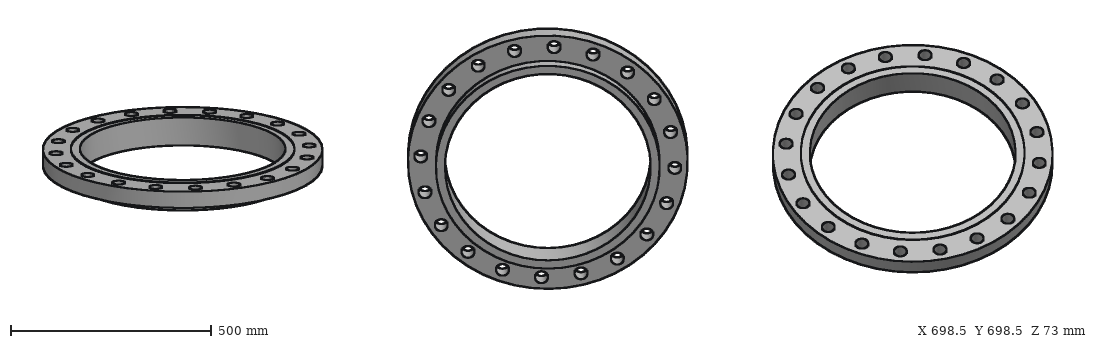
import cadquery as cq

outer_diameter = 698.5
bore_diameter = 513.5
hub_diameter = 559.0
raised_face_diameter = 559.0

total_height = 73.0
raised_face_height = 1.6
hub_height = 29.0
plate_thickness = total_height - hub_height - raised_face_height

bolt_count = 20
bolt_hole_diameter = 32.0
bolt_circle_diameter = 635.0
bolt_spacing_angle = 360.0 / bolt_count


def disc(diameter, base_height, thickness):
    """Solid disc on the flange axis, rising from base_height."""
    return cq.Workplane("XY").workplane(offset=base_height).circle(diameter / 2).extrude(thickness)


hub = disc(hub_diameter, 0, hub_height)
plate = disc(outer_diameter, hub_height, plate_thickness)
raised_face = disc(raised_face_diameter, hub_height + plate_thickness, raised_face_height)

bore = disc(bore_diameter, 0, total_height)

bolt_holes = (
    cq.Workplane("XY")
    .polarArray(bolt_circle_diameter / 2, bolt_spacing_angle / 2, 360, bolt_count)
    .circle(bolt_hole_diameter / 2)
    .extrude(total_height)
)

result = hub.union(plate).union(raised_face).cut(bore).cut(bolt_holes)